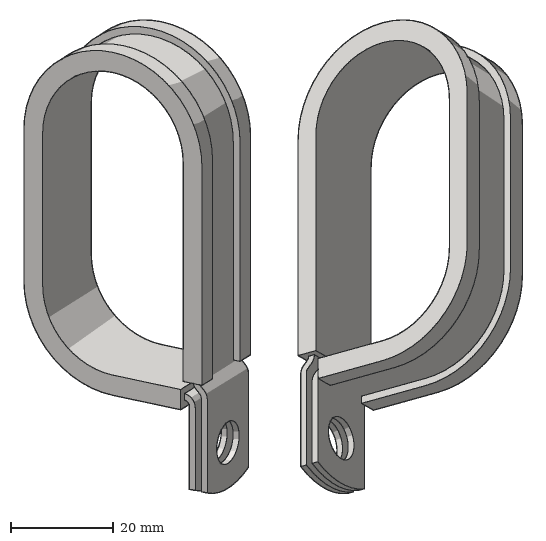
import cadquery as cq
import math

total_height = 90.7
cushion_width = 19.0
outer_radius = 20.1
straight_length = 31.75
cushion_thickness = 4.3
upright_end_z = -45.8

groove_width = 10.7
groove_depth = 1.5

strap_thickness = 1.4
tab_width = 16.1
tab_gap = 1.4
tab_overhang = 0.4
tab_tip_sagitta = 1.7
bend_inner_radius = 1.1
hole_diameter = 8.7
hole_above_tip = 9.6

lower_center_z = -straight_length
tip_z = outer_radius - total_height
strap_outer_radius = outer_radius - groove_depth
upright_tab_outer_x = outer_radius + tab_overhang
upright_tab_inner_x = upright_tab_outer_x - strap_thickness
foot_tab_outer_x = upright_tab_inner_x - tab_gap
foot_tab_inner_x = foot_tab_outer_x - strap_thickness
foot_end_x = foot_tab_inner_x - bend_inner_radius
bend_outer_radius = bend_inner_radius + strap_thickness
diagonal = math.sqrt(0.5)


def extrude_centered(outline, width):
    """Extrude an XZ outline symmetrically about the XZ plane."""
    return outline.extrude(width / 2, both=True)


def loop_band(radius, thickness, width):
    """Open loop: upright leg, upper bend, far leg, lower quarter bend and foot."""
    inner = radius - thickness
    outline = (
        cq.Workplane("XZ")
        .moveTo(radius, upright_end_z)
        .lineTo(radius, 0)
        .threePointArc((0, radius), (-radius, 0))
        .lineTo(-radius, lower_center_z)
        .threePointArc(
            (-radius * diagonal, lower_center_z - radius * diagonal),
            (0, lower_center_z - radius),
        )
        .lineTo(foot_end_x, lower_center_z - radius)
        .lineTo(foot_end_x, lower_center_z - inner)
        .lineTo(0, lower_center_z - inner)
        .threePointArc(
            (-inner * diagonal, lower_center_z - inner * diagonal),
            (-inner, lower_center_z),
        )
        .lineTo(-inner, 0)
        .threePointArc((0, inner), (inner, 0))
        .lineTo(inner, upright_end_z)
        .close()
    )
    return extrude_centered(outline, width)


def grooved_cushion():
    """Full-width loop with a central groove in its outer face."""
    full_loop = loop_band(outer_radius, cushion_thickness, cushion_width)
    groove = loop_band(outer_radius, groove_depth, groove_width)
    return full_loop.cut(groove)


def upright_tab():
    """Tab that steps outward through two round 45 degree bends below the upright leg."""
    strap_inner_x = strap_outer_radius - strap_thickness
    step = upright_tab_outer_x - strap_outer_radius
    radius_sum = bend_inner_radius + bend_outer_radius
    straight_run = step - radius_sum * (1 - diagonal)
    joggle_end_z = upright_end_z - radius_sum * diagonal - straight_run
    inner_shift = bend_inner_radius * (1 - diagonal)
    inner_drop = bend_inner_radius * diagonal
    outer_shift = bend_outer_radius * (1 - diagonal)
    outer_drop = bend_outer_radius * diagonal
    outline = (
        cq.Workplane("XZ")
        .moveTo(strap_outer_radius, upright_end_z)
        .radiusArc((strap_outer_radius + inner_shift, upright_end_z - inner_drop), -bend_inner_radius)
        .lineTo(upright_tab_outer_x - outer_shift, joggle_end_z + outer_drop)
        .radiusArc((upright_tab_outer_x, joggle_end_z), bend_outer_radius)
        .lineTo(upright_tab_outer_x, tip_z)
        .lineTo(upright_tab_inner_x, tip_z)
        .lineTo(upright_tab_inner_x, joggle_end_z)
        .radiusArc((upright_tab_inner_x - inner_shift, joggle_end_z + inner_drop), -bend_inner_radius)
        .lineTo(strap_inner_x + outer_shift, upright_end_z - outer_drop)
        .radiusArc((strap_inner_x, upright_end_z), bend_outer_radius)
        .close()
    )
    return extrude_centered(outline, tab_width)


def foot_tab():
    """Tab that turns straight down from the end of the foot through a round bend."""
    strap_bottom_z = lower_center_z - strap_outer_radius
    bend_z = strap_bottom_z - bend_inner_radius
    outline = (
        cq.Workplane("XZ")
        .moveTo(foot_end_x, strap_bottom_z + strap_thickness)
        .radiusArc((foot_tab_outer_x, bend_z), bend_outer_radius)
        .lineTo(foot_tab_outer_x, tip_z)
        .lineTo(foot_tab_inner_x, tip_z)
        .lineTo(foot_tab_inner_x, bend_z)
        .radiusArc((foot_end_x, strap_bottom_z), -bend_inner_radius)
        .close()
    )
    return extrude_centered(outline, tab_width)


def tab_envelope():
    """Tab silhouette along X, with its arched tip and bolt hole."""
    half_width = tab_width / 2
    shoulder_z = tip_z + tab_tip_sagitta
    silhouette = (
        cq.Workplane("YZ")
        .moveTo(-half_width, upright_end_z)
        .lineTo(-half_width, shoulder_z)
        .threePointArc((0, tip_z), (half_width, shoulder_z))
        .lineTo(half_width, upright_end_z)
        .close()
        .extrude(upright_tab_outer_x)
    )
    hole = (
        cq.Workplane("YZ")
        .center(0, tip_z + hole_above_tip)
        .circle(hole_diameter / 2)
        .extrude(upright_tab_outer_x)
    )
    return silhouette.cut(hole)


envelope = tab_envelope()
result = grooved_cushion()
for tab in (upright_tab(), foot_tab()):
    result = result.union(tab.intersect(envelope))